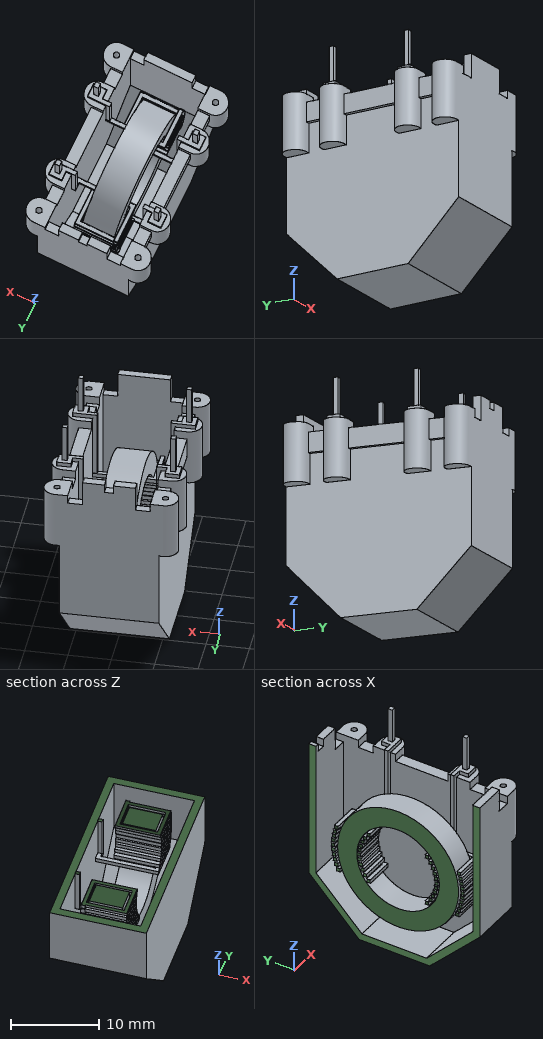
import cadquery as cq
import math

wall = 1.0
body_width = 11.5
body_length = 23.0
wall_top = 22.0
bottom_length = 9.5
rim_width = 12.5
rim_bottom = 19.6
cavity_width = body_width - 2 * wall
cavity_length = body_length - 2 * wall
cavity_bottom_length = bottom_length - 2 * wall * math.tan(math.radians(22.5))

lug_x = rim_width / 2
lug_radius = 1.5
lug_bottom = 16.0
lug_top = 23.0
pin_y = 5.0
end_lug_y = body_length / 2 - lug_radius
screw_hole_diameter = 0.7
screw_hole_depth = 5.0

tab_width = 6.1
tab_top = 25.0
slot_width = 1.05
slot_depth = 1.0

core_radius = 8.15
core_hole_radius = 5.5
core_width = 4.0
core_y = -0.5
core_z = 12.0

wire = 0.5
pin_size = 0.6
pin_top = 28.0
foot_size = 1.65
foot_top = lug_top + wire
arm_inner_x = cavity_width / 2 - wire
arm_y = pin_y - foot_size / 2

turn_count = 11
turn_pitch = 0.65
upper_turns = 6
coil_y = -0.45
coil_half_width = 2.7
coil_inner_radius = 5.45
coil_outer_radius = 8.95


def box(x_range, y_range, z_range):
    """Box between two values along each axis, given in any order."""
    lows = [min(pair) for pair in (x_range, y_range, z_range)]
    sizes = [abs(pair[1] - pair[0]) for pair in (x_range, y_range, z_range)]
    return cq.Workplane("XY").box(*sizes, centered=False).translate(tuple(lows))


def hull_block(width, length, flat_length, bottom, top):
    """Block along X whose two lower end edges are cut off at 45 degrees."""
    slope = (length - flat_length) / 2
    return (
        cq.Workplane("YZ")
        .moveTo(-flat_length / 2, bottom)
        .lineTo(flat_length / 2, bottom)
        .lineTo(length / 2, bottom + slope)
        .lineTo(length / 2, top)
        .lineTo(-length / 2, top)
        .lineTo(-length / 2, bottom + slope)
        .close()
        .extrude(width / 2, both=True)
    )


def lug(side, y):
    """Upright lug on a long wall, rounded outwards and flush with the cavity."""
    height = lug_top - lug_bottom
    post = cq.Workplane("XY", origin=(side * lug_x, y, lug_bottom)).circle(lug_radius).extrude(height)
    bridge = box(
        (side * cavity_width / 2, side * lug_x),
        (y - lug_radius, y + lug_radius),
        (lug_bottom, lug_top),
    )
    return post.union(bridge)


def end_tab(end):
    """Tab that stands on the end wall."""
    return box(
        (-tab_width / 2, tab_width / 2),
        (end * cavity_length / 2, end * body_length / 2),
        (wall_top, tab_top),
    )


def make_housing():
    shell = hull_block(body_width, body_length, bottom_length, 0, wall_top)
    rim = box((-lug_x, lug_x), (-end_lug_y, end_lug_y), (rim_bottom, wall_top))
    shell = shell.union(rim)
    for side in (-1, 1):
        for y in (-end_lug_y, -pin_y, pin_y, end_lug_y):
            shell = shell.union(lug(side, y))
    cavity = hull_block(cavity_width, cavity_length, cavity_bottom_length, wall, lug_top)
    shell = shell.cut(cavity)
    for side in (-1, 1):
        for end in (-1, 1):
            hole = cq.Workplane("XY", origin=(side * lug_x, end * end_lug_y, lug_top))
            shell = shell.cut(hole.circle(screw_hole_diameter / 2).extrude(-screw_hole_depth))
    for end in (-1, 1):
        shell = shell.union(end_tab(end))
    slot = box(
        (-slot_width / 2, slot_width / 2),
        (cavity_length / 2, body_length / 2),
        (tab_top - slot_depth, tab_top),
    )
    return shell.cut(slot)


def make_core():
    return (
        cq.Workplane("YZ", origin=(-core_width / 2, core_y, core_z))
        .circle(core_radius)
        .circle(core_hole_radius)
        .extrude(core_width)
    )


def turn_height(turn):
    """Height of a turn's centre above the core axis; turn 0 is the uppermost."""
    return ((turn_count - 1) / 2 - turn) * turn_pitch


def turn_z(turn):
    """Lower and upper face of a turn."""
    middle = core_z + turn_height(turn)
    return (middle - wire / 2, middle + wire / 2)


def turn_reach(turn, radius):
    """Distance in Y from the coil middle to a leg whose corners stay within the radius."""
    return math.sqrt(radius**2 - (abs(turn_height(turn)) + wire / 2) ** 2)


def leg_y(turn, radius, end):
    """Near and far side, in Y, of a leg of the winding on the given end."""
    far = turn_reach(turn, radius)
    return (coil_y + end * (far - wire), coil_y + end * far)


def make_turn(turn, end):
    """Outer, right, inner and left leg; the first turn has no outer and right leg."""
    z_range = turn_z(turn)
    inner = leg_y(turn, coil_inner_radius, end)
    across = (-coil_half_width, coil_half_width)
    legs = box(across, inner, z_range)
    if turn > 0:
        outer = leg_y(turn, coil_outer_radius, end)
        legs = legs.union(box(across, outer, z_range))
        right = (coil_half_width - wire, coil_half_width)
        legs = legs.union(box(right, (inner[0], outer[1]), z_range))
    if turn < turn_count - 1:
        left = (-coil_half_width, wire - coil_half_width)
        next_outer = leg_y(turn + 1, coil_outer_radius, end)
        legs = legs.union(box(left, (inner[0], next_outer[1]), z_range))
        drop = (turn_z(turn + 1)[1], z_range[1])
        legs = legs.union(box(left, next_outer, drop))
    return legs


def make_terminal(side, end):
    """Pin and foot on a lug, a strip down the cavity wall, a lead and half a winding."""
    x = side * lug_x
    y = end * pin_y
    half_pin = pin_size / 2
    half_foot = foot_size / 2
    if side > 0:
        turns = range(0, upper_turns)
        lead_turn = 0
    else:
        turns = range(upper_turns, turn_count)
        lead_turn = turn_count - 1
    lead_z = turn_z(lead_turn)
    lead_y = leg_y(lead_turn, coil_inner_radius, end)
    strip_x = (side * arm_inner_x, side * cavity_width / 2)
    strip_y = (end * arm_y, end * (arm_y + wire))

    pin = box((x - half_pin, x + half_pin), (y - half_pin, y + half_pin), (lug_top, pin_top))
    foot = box((x - half_foot, x + half_foot), (y - half_foot, y + half_foot), (lug_top, foot_top))
    arm = box((strip_x[0], x), strip_y, (lug_top, foot_top))
    strip = box(strip_x, strip_y, (lead_z[0], foot_top))
    jog = box(strip_x, (lead_y[0], strip_y[1]), lead_z)
    lead = box((side * coil_half_width, strip_x[1]), lead_y, lead_z)
    terminal = pin.union(foot).union(arm).union(strip).union(jog).union(lead)
    for turn in turns:
        terminal = terminal.union(make_turn(turn, end))
    return terminal


housing = make_housing()
core = make_core()
terminals = [make_terminal(side, end) for side in (-1, 1) for end in (-1, 1)]

result = cq.Compound.makeCompound(
    [body.solids().val() for body in (housing, core, *terminals)]
)